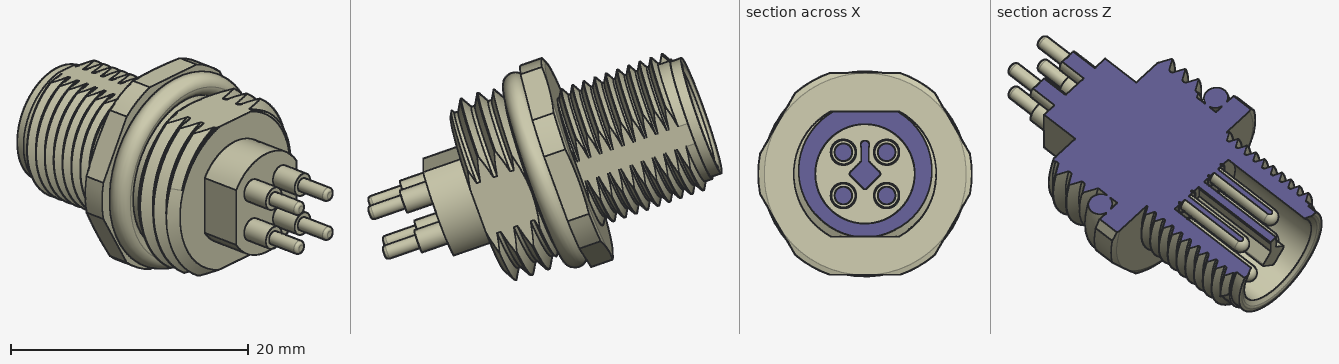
import cadquery as cq
import math


thread_front = 0.9
flange_front = 10.95
flange_rear = 13.0
groove_end = 15.15
body_rear = 19.95
insert_rear = 23.5
pin_shoulder_rear = 25.95
overall_length = 29.0

lip_diameter = 10.3
bore_diameter = 8.35
bore_depth = 9.0
bore_mouth_diameter = 9.4
flare_half_angle = 60.0
mouth_rounding = 0.5

flank_half_angle = 30.0
crest_flat_ratio = 1 / 16
thread_embed = 0.2
front_thread_diameter = 12.0
front_thread_root = 10.7
front_thread_pitch = 1.0
front_thread_start = 1.38
front_thread_turns = 10
front_thread_end = 12.0
front_flat_width = 10.54
rear_thread_diameter = 16.0
rear_thread_root = 14.12
rear_thread_pitch = 1.5
rear_thread_start = 14.13
rear_thread_turns = 5
rear_overrun = 3.0
rear_lead_angle = 60.0
rear_end_diameter = 13.9

hex_across_flats = 17.0
flange_diameter = 18.0
flange_chamfer_depth = 0.15

ring_section = 2.0
ring_inner_diameter = 13.3
ring_squeeze = 0.02
ring_center_x = 13.96
groove_diameter = ring_inner_diameter + 2 * ring_squeeze
rear_flat_width = groove_diameter

insert_diameter = 9.2
insert_flat_width = 7.65

pin_offset = 1.82
pin_places = [(y, z) for y in (-pin_offset, pin_offset) for z in (-pin_offset, pin_offset)]
shoulder_diameter = 2.0
tail_diameter = 1.2
tail_rounding = 0.3
contact_diameter = 1.5
contact_tip = 2.15
leading_contact_tip = 1.27
recess_diameter = 2.17
recess_depth = 0.2

key_front = 0.8
key_half_diagonal = 1.39
key_corner_radius = 0.2
key_blade_width = 0.64
key_bead_diameter = 0.75
key_bead_center = 2.43


def rod(diameter, start, end, y=0.0, z=0.0):
    """A cylinder along X between two stations."""
    plane = cq.Workplane("YZ", origin=(start, y, z))
    return plane.circle(diameter / 2).extrude(end - start)


def turned(points):
    """Revolve an (X, radius) outline about the connector axis."""
    return cq.Workplane("XY").polyline(points).close().revolve(360, (0, 0, 0), (1, 0, 0))


def thread_ridge(diameter, root, pitch, turns, start):
    """A helical ridge along X whose first crest lies at +Y, at the given station."""
    crest_radius = diameter / 2
    root_radius = root / 2
    inner_radius = root_radius - thread_embed
    crest_half = pitch * crest_flat_ratio / 2
    root_half = crest_half + (crest_radius - root_radius) * math.tan(math.radians(flank_half_angle))
    profile = [
        (inner_radius, -root_half),
        (root_radius, -root_half),
        (crest_radius, -crest_half),
        (crest_radius, crest_half),
        (root_radius, root_half),
        (inner_radius, root_half),
    ]
    length = pitch * turns
    edges = [cq.Wire.makeHelix(pitch, length, r).translate(cq.Vector(0, 0, x)) for r, x in profile]
    faces = [cq.Face.makeRuledSurface(edges[i - 1], edges[i]) for i in range(len(edges))]
    for end in (0, length):
        corners = [cq.Vector(r, 0, x + end) for r, x in profile]
        faces.append(cq.Face.makeFromWires(cq.Wire.makePolygon(corners, close=True)))
    ridge = cq.Workplane(cq.Solid.makeSolid(cq.Shell.makeShell(faces)))
    along_x = ridge.rotate((0, 0, 0), (0, 1, 0), 90)
    return along_x.rotate((0, 0, 0), (1, 0, 0), 90).translate((start, 0, 0))


def slab(start, end, height):
    """A block that limits a stretch of the body to two flats facing +Z and -Z."""
    block = cq.Workplane("XY").box(end - start, flange_diameter, height, centered=(False, True, True))
    return block.translate((start, 0, 0))


def rear_thread():
    """The mounting thread, run out past both ends and then trimmed to a chamfered envelope."""
    crest_radius = rear_thread_diameter / 2
    groove_radius = groove_diameter / 2
    end_radius = rear_end_diameter / 2
    slope = math.tan(math.radians(rear_lead_angle))
    lead_end = groove_end + (crest_radius - groove_radius) / slope
    chamfer_start = body_rear - (crest_radius - end_radius) / slope
    envelope = turned([
        (groove_end, 0),
        (groove_end, groove_radius),
        (lead_end, crest_radius),
        (chamfer_start, crest_radius),
        (body_rear, end_radius),
        (body_rear, 0),
    ])
    ridge = thread_ridge(
        rear_thread_diameter, rear_thread_root, rear_thread_pitch, rear_thread_turns, rear_thread_start
    )
    core = rod(rear_thread_root, groove_end - rear_overrun, body_rear + rear_overrun)
    threaded = core.union(ridge).intersect(envelope)
    return threaded.intersect(slab(groove_end, body_rear, rear_flat_width))


def flange():
    """The hexagonal flange with its corners turned and its front edge chamfered."""
    hexagon = (
        cq.Workplane("YZ", origin=(flange_front, 0, 0))
        .polygon(6, hex_across_flats, circumscribed=True)
        .extrude(flange_rear - flange_front)
        .rotate((0, 0, 0), (1, 0, 0), 90)
    )
    blank = turned([
        (flange_front, 0),
        (flange_front, hex_across_flats / 2),
        (flange_front + flange_chamfer_depth, flange_diameter / 2),
        (flange_rear, flange_diameter / 2),
        (flange_rear, 0),
    ])
    return hexagon.intersect(blank)


def sealing_ring():
    """The round-section ring seated against the flange."""
    section_radius = ring_section / 2
    center_radius = ring_inner_diameter / 2 + section_radius
    section = cq.Workplane("XY").center(ring_center_x, center_radius).circle(section_radius)
    return section.revolve(360, (0, -center_radius, 0), (1, -center_radius, 0))


def bore():
    """The mating cavity, flared at the mouth."""
    bore_radius = bore_diameter / 2
    mouth_radius = bore_mouth_diameter / 2
    flare_depth = (mouth_radius - bore_radius) / math.tan(math.radians(flare_half_angle))
    return turned([
        (0, 0),
        (0, mouth_radius),
        (flare_depth, bore_radius),
        (bore_depth, bore_radius),
        (bore_depth, 0),
    ])


def coding_key():
    """A square post on its corner with a beaded blade rising towards +Z."""
    length = bore_depth - key_front
    side = math.sqrt(2) * key_half_diagonal
    plane = cq.Workplane("YZ", origin=(key_front, 0, 0))
    post = plane.rect(side, side).extrude(length).edges("|X").fillet(key_corner_radius)
    post = post.rotate((0, 0, 0), (1, 0, 0), 45)
    blade = plane.center(0, key_bead_center / 2).rect(key_blade_width, key_bead_center).extrude(length)
    bead = rod(key_bead_diameter, key_front, bore_depth, z=key_bead_center)
    return post.union(blade).union(bead)


def lip():
    """The plain ring at the mating end, with the flare's outer edge rounded."""
    ring = rod(lip_diameter, 0, thread_front).cut(bore())
    return ring.edges(cq.selectors.RadiusNthSelector(1)).edges("<X").fillet(mouth_rounding)


def contact(y, z):
    """A round-nosed contact in the bore, standing on a shoulder in its recess.

    The contact in the +Y, -Z corner reaches further forward than the others.
    """
    leads = y > 0 > z
    contact_radius = contact_diameter / 2
    nose_center = contact_radius + (leading_contact_tip if leads else contact_tip)
    shank = rod(contact_diameter, nose_center, bore_depth, y, z)
    nose = cq.Workplane("XY").sphere(contact_radius).translate((nose_center, y, z))
    shoulder = rod(shoulder_diameter, bore_depth, bore_depth + recess_depth, y, z)
    return shank.union(nose).union(shoulder)


def solder_tail(y, z):
    """The stepped rear end of a contact."""
    shoulder = rod(shoulder_diameter, insert_rear, pin_shoulder_rear, y, z)
    tail = rod(tail_diameter, pin_shoulder_rear, overall_length, y, z)
    return shoulder.union(tail.faces(">X").edges().fillet(tail_rounding))


def mating_end():
    """The threaded sleeve with its contacts; its core and last thread turn end inside the flange."""
    sleeve = rod(front_thread_root, thread_front, front_thread_end).cut(bore())
    sleeve = sleeve.union(lip()).union(coding_key())
    for y, z in pin_places:
        recess = rod(recess_diameter, bore_depth, bore_depth + recess_depth, y, z)
        sleeve = sleeve.cut(recess).union(contact(y, z))
    ridge = thread_ridge(
        front_thread_diameter, front_thread_root, front_thread_pitch, front_thread_turns, front_thread_start
    )
    return sleeve.union(ridge).intersect(slab(0, front_thread_end, front_flat_width))


def rear_insert():
    """The two-flatted insert carrying the solder tails."""
    body = rod(insert_diameter, body_rear, insert_rear)
    limits = cq.Workplane("XY").box(
        insert_rear - body_rear, insert_flat_width, insert_diameter, centered=(False, True, True)
    )
    rear = body.intersect(limits.translate((body_rear, 0, 0)))
    for y, z in pin_places:
        rear = rear.union(solder_tail(y, z))
    return rear


result = flange().union(rod(groove_diameter, flange_rear, groove_end)).union(sealing_ring())
result = result.union(rear_insert()).union(rear_thread()).union(mating_end())